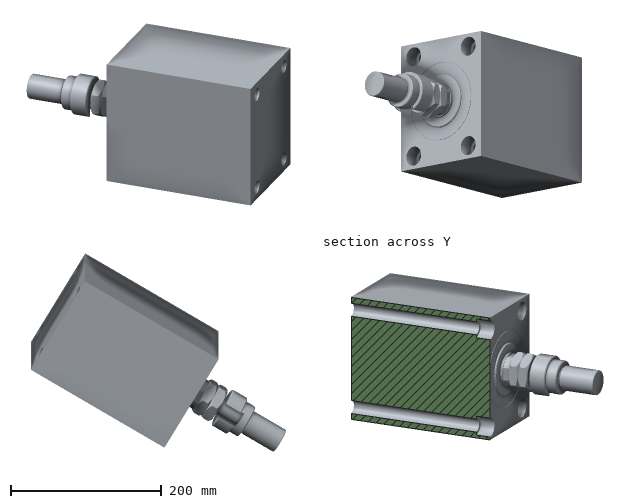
import cadquery as cq
import math


housing_length = 206.0
housing_width = 140.0
housing_height = 170.0
bolt_spacing_y = 95.0
bolt_spacing_z = 135.0
bolt_hole_diameter = 17.5
counterbore_diameter = 25.5
counterbore_depth = 20.5

groove_outer_radius = 53.0
groove_width = 0.7
groove_depth = 0.7
face_collar_radius = 35.5
face_collar_height = 2.5
face_collar_chamfer = 1.0
rod_bore_depth = 20.5

rod_radius = 22.5
wrench_end_front = -14.5
wrench_end_back = -5.5
wrench_end_radius = 22.0
wrench_flat_size = 40.5
stud_radius = 15.0
neck_radius = 10.5
stud_overhang = 1.7

nut_count = 2
nut_across_flats = 46.0
nut_thickness = 14.0
nut_face_radius = 22.5
nut_chamfer_depth = 3.5
nuts_front = wrench_end_front - nut_count * nut_thickness

overall_length = 342.0
coupling_front = housing_length - overall_length
ring_radius = 27.5
ring_front = -70.0
ring_back = -47.2
collar_radius = 23.0
collar_front = -84.8
coupling_chamfer = 1.0
stem_radius = 16.8
stem_tip_chamfer = 0.7
undercut_radius = 15.0
undercut_length = 1.0
slot_width = 23.0
slot_front = -75.0


def disc(radius, x_start, x_end):
    """Cylinder on the X axis between two X positions."""
    return cq.Workplane("YZ", origin=(x_start, 0, 0)).circle(radius).extrude(x_end - x_start)


def turned(outline):
    """Solid of revolution about X from (x, radius) points; the axis closes the outline."""
    points = [(outline[0][0], 0), *outline, (outline[-1][0], 0)]
    return cq.Workplane("XY").polyline(points).close().revolve(360, (0, 0, 0), (1, 0, 0))


def make_housing():
    """Block with counterbored bolt holes, face groove, raised collar and blind rod bore."""
    block = cq.Workplane("YZ").rect(housing_width, housing_height).extrude(housing_length)
    drilled = (
        block.faces("<X").workplane()
        .rect(bolt_spacing_y, bolt_spacing_z, forConstruction=True).vertices()
        .cboreHole(bolt_hole_diameter, counterbore_diameter, counterbore_depth)
    )
    groove = disc(groove_outer_radius, 0, groove_depth).cut(
        disc(groove_outer_radius - groove_width, 0, groove_depth)
    )
    collar = turned([
        (-face_collar_height, face_collar_radius - face_collar_chamfer),
        (face_collar_chamfer - face_collar_height, face_collar_radius),
        (0, face_collar_radius),
    ])
    rod_bore = disc(rod_radius, -face_collar_height, rod_bore_depth)
    return drilled.cut(groove).union(collar).cut(rod_bore)


def make_rod():
    """Shaft with four wrench flats, a chamfered stud and a neck that reaches the slot end."""
    wrench_end = (
        cq.Workplane("YZ", origin=(wrench_end_front, 0, 0))
        .rect(wrench_flat_size, wrench_flat_size)
        .extrude(wrench_end_back - wrench_end_front)
        .intersect(disc(wrench_end_radius, wrench_end_front, wrench_end_back))
    )
    stud_front = nuts_front - stud_overhang
    stud = turned([
        (slot_front, neck_radius),
        (stud_front, neck_radius),
        (stud_front + stud_radius - neck_radius, stud_radius),
        (wrench_end_front, stud_radius),
    ])
    return disc(rod_radius, wrench_end_back, rod_bore_depth).union(wrench_end).union(stud)


def make_nut(x_front):
    """Hexagon nut with corners towards +Z and -Z and both faces chamfered by a cone."""
    corner_radius = nut_across_flats / math.sqrt(3)
    x_back = x_front + nut_thickness
    prism = (
        cq.Workplane("YZ", origin=(x_front, 0, 0))
        .polygon(6, 2 * corner_radius)
        .extrude(nut_thickness)
        .rotate((0, 0, 0), (1, 0, 0), 30)
    )
    envelope = turned([
        (x_front, nut_face_radius),
        (x_front + nut_chamfer_depth, corner_radius),
        (x_back - nut_chamfer_depth, corner_radius),
        (x_back, nut_face_radius),
    ])
    return prism.intersect(envelope).cut(disc(stud_radius, x_front, x_back))


def make_coupling():
    """Stem, collar and ring in one piece, with a U-slot open downwards and to the rear."""
    stem_relief = stem_radius - undercut_radius
    body = turned([
        (coupling_front, stem_radius - stem_tip_chamfer),
        (coupling_front + stem_tip_chamfer, stem_radius),
        (collar_front - undercut_length - stem_relief, stem_radius),
        (collar_front - undercut_length, undercut_radius),
        (collar_front, undercut_radius),
        (collar_front, collar_radius - coupling_chamfer),
        (collar_front + coupling_chamfer, collar_radius),
        (ring_front, collar_radius),
        (ring_front, ring_radius - coupling_chamfer),
        (ring_front + coupling_chamfer, ring_radius),
        (ring_back - coupling_chamfer, ring_radius),
        (ring_back, ring_radius - coupling_chamfer),
    ])
    slot_length = ring_back - slot_front
    slot_mouth = (
        cq.Workplane("YZ", origin=(slot_front, 0, -ring_radius / 2))
        .rect(slot_width, ring_radius)
        .extrude(slot_length)
    )
    return body.cut(slot_mouth).cut(disc(slot_width / 2, slot_front, ring_back))


housing = make_housing()
rod = make_rod()
nuts = [make_nut(nuts_front + index * nut_thickness) for index in range(nut_count)]
coupling = make_coupling()

result = cq.Compound.makeCompound(
    [housing.val(), rod.val(), *[nut.val() for nut in nuts], coupling.val()]
)